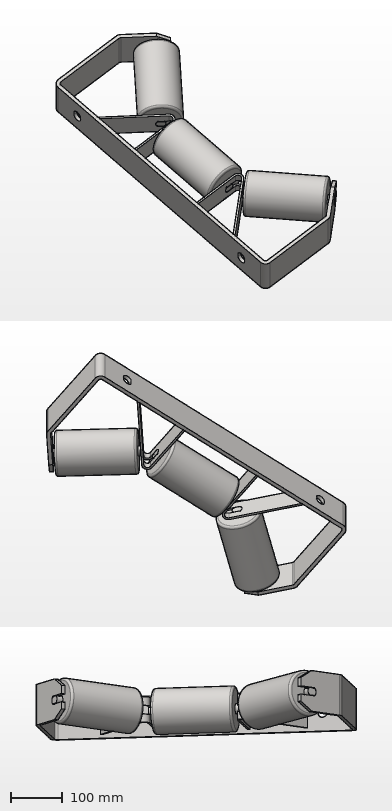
import cadquery as cq
import math


TROUGH_ANGLE = 40.0
FORWARD_TILT = 2.2
SIN_TROUGH = math.sin(math.radians(TROUGH_ANGLE))
COS_TROUGH = math.cos(math.radians(TROUGH_ANGLE))
TAN_HALF_TROUGH = math.tan(math.radians(TROUGH_ANGLE / 2))

FRAME_LENGTH = 600.0
FRAME_HEIGHT = 80.0
FRAME_THICKNESS = 8.0
FRAME_BEND_RADIUS = 13.0
WALL_HEIGHT_Y = 171.0
FLANGE_LENGTH = 101.5
TIP_CHAMFER_LENGTH = 27.5
TIP_CHAMFER_HEIGHT = 17.0
MOUNT_SLOT_WIDTH = 18.0
MOUNT_SLOT_HEIGHT = 25.0
MOUNT_SLOT_SPACING = 464.5

ROLLER_DIAMETER = 89.5
ROLLER_LENGTH = 160.0
ROLLER_FILLET = 5.0
SHAFT_DIAMETER = 20.0
SHAFT_FLAT_HEIGHT = 14.5
FLAT_SHOULDER_GAP = 2.0
SIDE_GAP = 5.5
AXIS_TO_TIP = 28.0
CENTRE_ROLLER_Y = 101.0
CENTRE_ROLLER_Z = -8.0
SIDE_ROLLER_Z = -5.0

BRACKET_THICKNESS = 4.0
BRACKET_HEIGHT = 50.0
BRACKET_BEND_RADIUS = 11.5
BRACKET_SPACING = 171.5
SHAFT_SLOT_HEIGHT = 16.0
SLOT_OPENING = 72.0
SLOT_OVERRUN = 12.0

HALF_FRAME = FRAME_LENGTH / 2
HALF_ROLLER = ROLLER_LENGTH / 2
HALF_SPACING = BRACKET_SPACING / 2
flange_tip_x = -HALF_FRAME + FLANGE_LENGTH * SIN_TROUGH
flange_tip_y = WALL_HEIGHT_Y + FLANGE_LENGTH * COS_TROUGH

side_outer_reach = HALF_ROLLER + SIDE_GAP + FRAME_THICKNESS
side_inner_reach = HALF_ROLLER + SIDE_GAP + BRACKET_THICKNESS
centre_reach = HALF_SPACING + BRACKET_THICKNESS

side_roller_x = flange_tip_x - AXIS_TO_TIP * SIN_TROUGH + side_outer_reach * COS_TROUGH
side_roller_y = flange_tip_y - AXIS_TO_TIP * COS_TROUGH - side_outer_reach * SIN_TROUGH


def place_centre(body):
    """Move a body built around the origin, axis along X, to the centre roller."""
    return body.translate((0, CENTRE_ROLLER_Y, CENTRE_ROLLER_Z))


def place_left(body):
    """Tilt and turn a body built around the origin, axis along X, to the left roller."""
    tilted = body.rotate((0, 0, 0), (0, 1, 0), FORWARD_TILT)
    turned = tilted.rotate((0, 0, 0), (0, 0, 1), -TROUGH_ANGLE)
    return turned.translate((side_roller_x, side_roller_y, SIDE_ROLLER_Z))


def mirrored(body):
    """Copy of a left-hand body on the right-hand side."""
    return body.mirror("YZ")


def cylinder_along_x(diameter, x_start, x_end):
    return cq.Workplane("YZ", origin=(x_start, 0, 0)).circle(diameter / 2).extrude(x_end - x_start)


def make_roller(left_reach, right_reach, left_flat, right_flat):
    """Roller and its shaft as one body; each shaft end has two flats that face Z."""
    shell = cylinder_along_x(ROLLER_DIAMETER, -HALF_ROLLER, HALF_ROLLER)
    shell = shell.edges("%CIRCLE").fillet(ROLLER_FILLET)
    shaft = cylinder_along_x(SHAFT_DIAMETER, left_flat - left_reach, right_reach - right_flat)
    flat_bar = cylinder_along_x(SHAFT_DIAMETER, -left_reach, right_reach).intersect(
        cq.Workplane().box(2 * (left_reach + right_reach), SHAFT_DIAMETER, SHAFT_FLAT_HEIGHT))
    return shell.union(shaft).union(flat_bar)


def make_shaft_slot(left_reach, right_reach):
    """Cutter for the open slots of one roller: a round seat below the axis, open towards +Y."""
    x_start = -left_reach - SLOT_OVERRUN
    x_end = right_reach + SLOT_OVERRUN
    seat = cylinder_along_x(SHAFT_DIAMETER, x_start, x_end)
    opening = cq.Workplane().box(x_end - x_start, SLOT_OPENING, SHAFT_DIAMETER, centered=(False, False, True))
    slab = cq.Workplane().box(x_end - x_start, 2 * SLOT_OPENING, SHAFT_SLOT_HEIGHT, centered=(False, True, True))
    return seat.union(opening.translate((x_start, 0, 0))).intersect(slab.translate((x_start, 0, 0)))


def round_bend(strip, outer_corner, inner_corner, outer_radius, thickness):
    """Round both edges of a sharp bend in a strip so that its thickness stays even."""
    bends = ((outer_corner, outer_radius), (inner_corner, outer_radius - thickness))
    for (x, y), radius in bends:
        strip = strip.edges("|Z").edges(cq.NearestToPointSelector((x, y, 0))).fillet(radius)
    return strip


def make_frame(left_shaft_slot):
    t = FRAME_THICKNESS
    outer = [
        (-HALF_FRAME, 0),
        (-HALF_FRAME, WALL_HEIGHT_Y),
        (flange_tip_x, flange_tip_y),
    ]
    inner = [
        (-HALF_FRAME + t, t),
        (-HALF_FRAME + t, WALL_HEIGHT_Y - t * TAN_HALF_TROUGH),
        (flange_tip_x + t * COS_TROUGH, flange_tip_y - t * SIN_TROUGH),
    ]
    left_outline = [(0, 0), *outer, *reversed(inner), (0, t)]
    half = cq.Workplane().polyline(left_outline).close().extrude(FRAME_HEIGHT / 2, both=True)
    for outer_corner, inner_corner in zip(outer[:2], inner[:2]):
        half = round_bend(half, outer_corner, inner_corner, FRAME_BEND_RADIUS, t)
    half = half.cut(make_tip_chamfers()).cut(left_shaft_slot)

    frame = half.union(mirrored(half)).clean()
    mount_slots = (
        cq.Workplane("XZ")
        .pushPoints([(-MOUNT_SLOT_SPACING / 2, 0), (MOUNT_SLOT_SPACING / 2, 0)])
        .slot2D(MOUNT_SLOT_HEIGHT, MOUNT_SLOT_WIDTH, 90)
        .extrude(-FRAME_THICKNESS)
    )
    return frame.cut(mount_slots)


def make_tip_chamfers():
    """Cutter for the upper and lower corners of the left flange tip."""
    tip_plane = cq.Plane(
        origin=(flange_tip_x, flange_tip_y, 0),
        xDir=(SIN_TROUGH, COS_TROUGH, 0),
        normal=(COS_TROUGH, -SIN_TROUGH, 0),
    )
    top = FRAME_HEIGHT / 2
    corners = cq.Workplane(tip_plane)
    for edge, inset in ((top, top - TIP_CHAMFER_HEIGHT), (-top, TIP_CHAMFER_HEIGHT - top)):
        corners = corners.moveTo(0, edge).lineTo(-TIP_CHAMFER_LENGTH, edge).lineTo(0, inset).close()
    return corners.extrude(FRAME_THICKNESS)


def make_left_bracket(shaft_slots):
    """Upright leg beside the centre roller, bent over into a leg square to the left roller."""
    t = BRACKET_THICKNESS
    foot_y = FRAME_THICKNESS
    upright_x = -HALF_SPACING
    leg_x = side_roller_x + (side_inner_reach - t) * COS_TROUGH
    leg_y = side_roller_y - (side_inner_reach - t) * SIN_TROUGH
    slope = COS_TROUGH / SIN_TROUGH
    outer_foot_x = leg_x - (leg_y - foot_y) / slope
    inner_foot_x = outer_foot_x + t / COS_TROUGH
    outer_peak = (upright_x, foot_y + (upright_x - outer_foot_x) * slope)
    inner_peak = (upright_x - t, foot_y + (upright_x - t - inner_foot_x) * slope)
    bracket = (
        cq.Workplane()
        .polyline([
            (upright_x, foot_y),
            outer_peak,
            (outer_foot_x, foot_y),
            (inner_foot_x, foot_y),
            inner_peak,
            (upright_x - t, foot_y),
        ])
        .close()
        .extrude(BRACKET_HEIGHT / 2, both=True)
    )
    bracket = round_bend(bracket, outer_peak, inner_peak, BRACKET_BEND_RADIUS, t)
    bracket = bracket.translate((0, 0, CENTRE_ROLLER_Z))
    for slot in shaft_slots:
        bracket = bracket.cut(slot)
    return bracket


frame_flat = FRAME_THICKNESS + FLAT_SHOULDER_GAP
bracket_flat = BRACKET_THICKNESS + FLAT_SHOULDER_GAP

centre_slot = place_centre(make_shaft_slot(centre_reach, centre_reach))
left_slot = place_left(make_shaft_slot(side_outer_reach, side_inner_reach))

frame = make_frame(left_slot)
left_bracket = make_left_bracket([centre_slot, left_slot])
centre_roller = place_centre(make_roller(centre_reach, centre_reach, bracket_flat, bracket_flat))
left_roller = place_left(make_roller(side_outer_reach, side_inner_reach, frame_flat, bracket_flat))

bodies = [frame, centre_roller]
for left_body in (left_bracket, left_roller):
    bodies += [left_body, mirrored(left_body)]

result = cq.Compound.makeCompound([body.solids().val() for body in bodies])